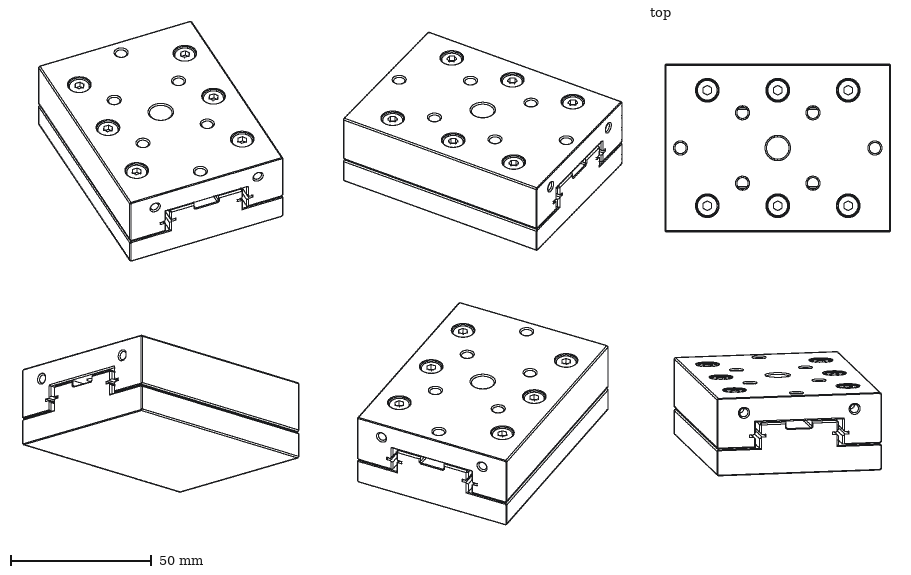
import cadquery as cq
import math

LENGTH = 80.0
WIDTH = 59.5
HEIGHT = 28.0

BASE_TOP = 9.4
RAIL_TOP = 18.5
RAIL_HALF_WIDTH = 14.25
RAIL_CHAMFER = 0.6
SLOT_HALF_WIDTH = 4.7
SLOT_FLOOR = 16.2
SLOT_CORNER = 0.5
SLOT_FLARE = 0.3

GAP = 0.4
CARRIAGE_BOTTOM = BASE_TOP + GAP
CHANNEL_TOP = RAIL_TOP + GAP
CHANNEL_HALF_WIDTH = 15.75
CHANNEL_FLARE = 0.5

LONG_CHAMFER = 0.5
END_CHAMFER = 0.3

RACE_HEIGHT = 14.0
RACE_CENTER = (RAIL_HALF_WIDTH + CHANNEL_HALF_WIDTH) / 2
RACE_HALF_DIAGONAL = 1.95
RELIEF_HALF_SPAN = 3.0
RELIEF_THICKNESS = 0.9

CENTER_HOLE = 8.0
CENTER_HOLE_CHAMFER = 0.5
MOUNT_HOLE = 4.0
MOUNT_HOLE_CHAMFER = 0.5
MOUNT_HOLE_PITCH = 25.0
OUTER_HOLE_SPACING = 69.0

SCREW_PITCH = 25.0
SCREW_ROW_SPACING = 41.0
SCREW_POCKET = 7.8
SCREW_POCKET_CHAMFER = 0.3
SCREW_POCKET_DEPTH = 4.0
SCREW_HEAD = 7.0
SCREW_HEAD_RECESS = 0.4
SCREW_HEAD_FILLET = 0.4
SOCKET_FLATS = 3.0
SOCKET_CORNERS = SOCKET_FLATS / math.cos(math.pi / 6)
SOCKET_DEPTH = 2.0

END_HOLE = 3.0
END_HOLE_MOUTH = 4.0
END_HOLE_SPACING = 40.0
END_HOLE_HEIGHT = 22.5
END_HOLE_DEPTH = 8.0
DRILL_POINT_ANGLE = 118.0
DRILL_TIP_DEPTH = END_HOLE / 2 / math.tan(math.radians(DRILL_POINT_ANGLE / 2))


def along_length(outline):
    """Extrude a closed YZ outline over the full length, centred on X = 0."""
    return cq.Workplane("YZ").polyline(outline).close().extrude(LENGTH / 2, both=True)


def plate(bottom, top):
    """Full-width block with chamfered long edges and chamfered end outlines."""
    block = (
        cq.Workplane("XY", origin=(0, 0, bottom))
        .rect(LENGTH, WIDTH)
        .extrude(top - bottom)
    )
    return block.edges("|X").chamfer(LONG_CHAMFER).faces("<X or >X").chamfer(END_CHAMFER)


def flared_passage(outline, flare):
    """Cutter of the given YZ outline over the full length, widening at 45 degrees at both ends."""
    flare_start = LENGTH / 2 - flare
    mouth = (
        cq.Workplane("YZ", origin=(flare_start, 0, 0))
        .polyline(outline)
        .close()
        .extrude(flare, taper=-45)
    )
    return along_length(outline).union(mouth).union(mouth.mirror("YZ"))


def raceways():
    """Cutters for the vee raceways and their relief slots on both sides of the rail."""
    vee = [
        (-RACE_HALF_DIAGONAL, 0),
        (0, RACE_HALF_DIAGONAL),
        (RACE_HALF_DIAGONAL, 0),
        (0, -RACE_HALF_DIAGONAL),
    ]
    cutters = cq.Workplane("YZ")
    for side in (-1, 1):
        center_y = side * RACE_CENTER
        cutters = cutters.add(along_length([(center_y + y, RACE_HEIGHT + z) for y, z in vee]))
        relief = cq.Workplane("XY").box(LENGTH, 2 * RELIEF_HALF_SPAN, RELIEF_THICKNESS)
        cutters = cutters.add(relief.translate((0, center_y, RACE_HEIGHT)))
    return cutters.combine()


def rail():
    """Central guide rail, rooted just below the base top so that its end faces join the plate's."""
    root = BASE_TOP - END_CHAMFER
    block = (
        cq.Workplane("XY", origin=(0, 0, root))
        .rect(LENGTH, 2 * RAIL_HALF_WIDTH)
        .extrude(RAIL_TOP - root)
    )
    return block.edges(">Z or |Z").chamfer(RAIL_CHAMFER)


def rail_slot():
    """Shallow slot along the rail top, with bevelled floor corners."""
    inner_half = SLOT_HALF_WIDTH - SLOT_CORNER
    bevel_top = SLOT_FLOOR + SLOT_CORNER
    outline = [
        (SLOT_HALF_WIDTH, RAIL_TOP),
        (-SLOT_HALF_WIDTH, RAIL_TOP),
        (-SLOT_HALF_WIDTH, bevel_top),
        (-inner_half, SLOT_FLOOR),
        (inner_half, SLOT_FLOOR),
        (SLOT_HALF_WIDTH, bevel_top),
    ]
    return flared_passage(outline, SLOT_FLARE)


def base():
    return plate(0, BASE_TOP).union(rail()).cut(rail_slot()).cut(raceways())


def rail_channel():
    outline = [
        (CHANNEL_HALF_WIDTH, CARRIAGE_BOTTOM),
        (CHANNEL_HALF_WIDTH, CHANNEL_TOP),
        (-CHANNEL_HALF_WIDTH, CHANNEL_TOP),
        (-CHANNEL_HALF_WIDTH, CARRIAGE_BOTTOM),
    ]
    return flared_passage(outline, CHANNEL_FLARE)


def carriage_blank():
    return plate(CARRIAGE_BOTTOM, HEIGHT).cut(rail_channel()).cut(raceways())


def chamfered_hole(diameter, chamfer):
    """Cutter from the channel ceiling up to the top face, flared at the top."""
    radius = diameter / 2
    return (
        cq.Workplane("XZ")
        .polyline([
            (0, HEIGHT),
            (radius + chamfer, HEIGHT),
            (radius, HEIGHT - chamfer),
            (radius, CHANNEL_TOP),
            (0, CHANNEL_TOP),
        ])
        .close()
        .revolve(360, (0, 0), (0, 1))
    )


def cut_top_holes(body):
    body = body.cut(chamfered_hole(CENTER_HOLE, CENTER_HOLE_CHAMFER))
    half_pitch = MOUNT_HOLE_PITCH / 2
    places = [(x, y) for x in (-half_pitch, half_pitch) for y in (-half_pitch, half_pitch)]
    places += [(-OUTER_HOLE_SPACING / 2, 0), (OUTER_HOLE_SPACING / 2, 0)]
    for x, y in places:
        body = body.cut(chamfered_hole(MOUNT_HOLE, MOUNT_HOLE_CHAMFER).translate((x, y, 0)))
    return body


def screw_pocket():
    pocket_floor = HEIGHT - SCREW_POCKET_DEPTH
    pocket = (
        cq.Workplane("XY", origin=(0, 0, pocket_floor))
        .circle(SCREW_POCKET / 2)
        .extrude(SCREW_POCKET_DEPTH)
    )
    flare = (
        cq.Workplane("XY", origin=(0, 0, HEIGHT))
        .circle(SCREW_POCKET / 2 + SCREW_POCKET_CHAMFER)
        .extrude(-SCREW_POCKET_CHAMFER, taper=45)
    )
    return pocket.union(flare)


def screw_head():
    """Round head with a rounded rim and a hexagon socket, standing on the pocket floor."""
    head_height = SCREW_POCKET_DEPTH - SCREW_HEAD_RECESS
    return (
        cq.Workplane("XY", origin=(0, 0, HEIGHT - SCREW_POCKET_DEPTH))
        .circle(SCREW_HEAD / 2)
        .extrude(head_height)
        .faces(">Z")
        .edges()
        .fillet(SCREW_HEAD_FILLET)
        .faces(">Z")
        .workplane()
        .transformed(rotate=(0, 0, 90))
        .polygon(6, SOCKET_CORNERS)
        .cutBlind(-SOCKET_DEPTH)
    )


def add_screws(body):
    for x in (-SCREW_PITCH, 0, SCREW_PITCH):
        for y in (-SCREW_ROW_SPACING / 2, SCREW_ROW_SPACING / 2):
            body = body.cut(screw_pocket().translate((x, y, 0)))
            body = body.union(screw_head().translate((x, y, 0)))
    return body


def end_hole():
    """Cutter starting at X = 0 and running toward +X, with a flared mouth and a drill tip."""
    radius = END_HOLE / 2
    mouth_radius = END_HOLE_MOUTH / 2
    return (
        cq.Workplane("XY")
        .polyline([
            (0, 0),
            (0, mouth_radius),
            (mouth_radius - radius, radius),
            (END_HOLE_DEPTH, radius),
            (END_HOLE_DEPTH + DRILL_TIP_DEPTH, 0),
        ])
        .close()
        .revolve(360, (0, 0), (1, 0))
    )


def cut_end_holes(body):
    for y in (-END_HOLE_SPACING / 2, END_HOLE_SPACING / 2):
        near_hole = end_hole().translate((-LENGTH / 2, y, END_HOLE_HEIGHT))
        body = body.cut(near_hole).cut(near_hole.mirror("YZ"))
    return body


def carriage():
    return cut_end_holes(add_screws(cut_top_holes(carriage_blank())))


base_body = base()
carriage_body = carriage()
result = cq.Compound.makeCompound([base_body.solids().val(), carriage_body.solids().val()])